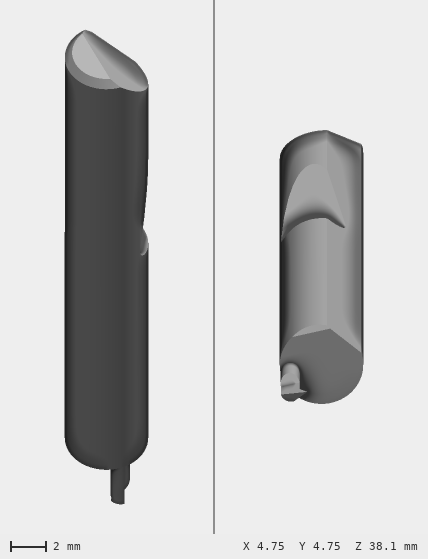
import cadquery as cq
import math

shank_diameter = 4.75
shank_radius = shank_diameter / 2
overall_length = 38.1
tip_drop = 3.8
shank_length = overall_length - tip_drop
end_chamfer = 0.42

flat_distance = 2.02
flat_direction = 143

bevel_start_y = -0.65

lower_bevel_width = 0.35
lower_bevel_height = 0.23

notch_top_z = shank_length - 8.23
notch_bottom_z = shank_length - 17.03
notch_angle = math.radians(9.4)
notch_corner_radius = 1.0

neck_diameter = 1.1
neck_radius = neck_diameter / 2
neck_x = shank_radius - neck_radius
neck_length = 3.1
full_round_length = 1.65
runout_length = 0.42
tip_x = 0.85
heel_drop = 3.3
back_top_x = 1.95
back_edge_x = 1.75
back_edge_drop = 3.4
back_heel_drop = 3.2


def make_shank():
    bar = cq.Workplane("XY").circle(shank_radius).extrude(shank_length)
    return bar.faces(">Z").chamfer(end_chamfer)


def flat_cutter():
    """Block whose inner face is the locating flat."""
    return (
        cq.Workplane("XY")
        .box(shank_diameter, 2 * shank_diameter, shank_length, centered=(False, True, False))
        .translate((flat_distance, 0, 0))
        .rotate((0, 0, 0), (0, 0, 1), flat_direction)
    )


def side_cutter(points):
    """Prism with a YZ outline, running right across the shank."""
    return cq.Workplane("YZ").polyline(points).close().extrude(shank_diameter, both=True)


def bevel_cutter():
    size = shank_diameter
    return side_cutter([
        (bevel_start_y, shank_length),
        (bevel_start_y + size, shank_length - size),
        (bevel_start_y + size, shank_length),
    ])


def lower_bevel_cutter():
    return side_cutter([
        (shank_radius - lower_bevel_width, 0),
        (shank_radius, lower_bevel_height),
        (shank_radius, 0),
    ])


def notch_cutter():
    """Sloping wall and a floor square to it, joined by a round corner."""
    height = notch_top_z - notch_bottom_z
    wall = height * math.cos(notch_angle)
    corner_y = shank_radius - wall * math.sin(notch_angle)
    corner_z = notch_top_z - wall * math.cos(notch_angle)
    cutter = side_cutter([
        (shank_radius, notch_top_z),
        (corner_y, corner_z),
        (shank_radius, notch_bottom_z),
    ])
    corner = cq.selectors.NearestToPointSelector((0, corner_y, corner_z))
    return cutter.edges(corner).fillet(notch_corner_radius)


def make_neck():
    """Round neck ground away to its centre plane below a sloping run-out."""
    neck = cq.Workplane("XY").center(neck_x, 0).circle(neck_radius).extrude(-neck_length)
    relief = side_cutter([
        (neck_radius, -full_round_length),
        (0, -full_round_length - runout_length),
        (0, -neck_length),
        (neck_radius, -neck_length),
    ])
    return neck.cut(relief)


def make_tip():
    """Pointed cutting head, narrowing from the cutting face at Y = 0 to its back."""
    front = [
        (neck_x - neck_radius, -neck_length),
        (tip_x, -tip_drop),
        (shank_radius, -heel_drop),
        (shank_radius, -neck_length),
    ]
    back = [
        (back_top_x, -neck_length),
        (back_edge_x, -back_edge_drop),
        (shank_radius, -back_heel_drop),
        (shank_radius, -neck_length),
    ]
    head = (
        cq.Workplane("XZ")
        .polyline(front)
        .close()
        .workplane(offset=neck_radius)
        .polyline(back)
        .close()
        .loft(ruled=True)
    )
    envelope = (
        cq.Workplane("XY")
        .moveTo(0, -neck_radius)
        .lineTo(neck_x, -neck_radius)
        .threePointArc((shank_radius, 0), (neck_x, neck_radius))
        .lineTo(0, neck_radius)
        .close()
        .extrude(-tip_drop)
    )
    return head.intersect(envelope)


shank = (
    make_shank()
    .cut(flat_cutter())
    .cut(bevel_cutter())
    .cut(lower_bevel_cutter())
    .cut(notch_cutter())
)
result = shank.union(make_neck()).union(make_tip())